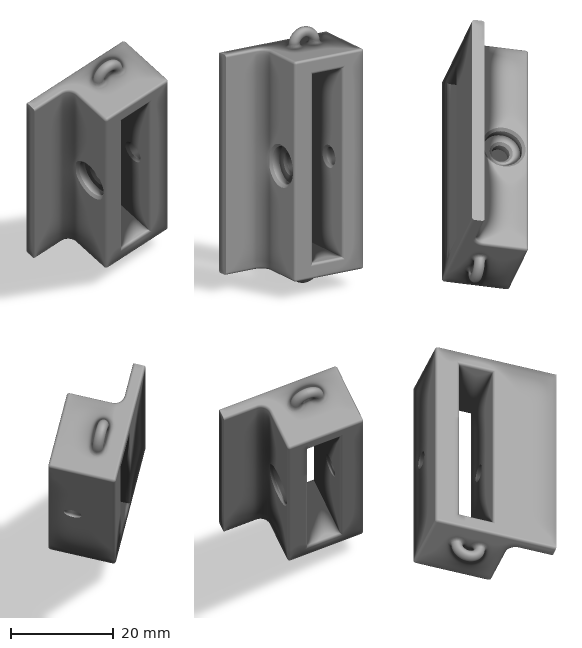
import cadquery as cq

width = 13.5
depth = 24.85
total_height = 52.3
body_height = 45.0
block_depth = 16.0
plate_thickness = 2.5
corner_radius = 2.0
edge_radius = 0.5
hole_chamfer = 0.5

left_x = -width / 2
right_x = width / 2
front_y = -depth / 2
back_y = depth / 2
block_front_y = back_y - block_depth
plate_inner_x = left_x + plate_thickness

window_width = 6.9
window_height = 38.6
window_y = back_y - 8.35

screw_x = left_x + 8.5
screw_diameter = 3.55
head_diameter = 7.65
head_depth = 2.1

eyelet_x = left_x + 4.95
eyelet_ring_radius = 2.35
eyelet_wire_radius = 1.05
eyelet_fillet = 0.7
eyelet_rise = (total_height - body_height) / 2
eyelet_center_z = body_height / 2 + eyelet_rise - eyelet_ring_radius - eyelet_wire_radius


def make_body():
    """Block with a thin plate running forward from its left side."""
    body = (
        cq.Workplane("XY", origin=(0, 0, -body_height / 2))
        .moveTo(left_x, front_y)
        .lineTo(plate_inner_x, front_y)
        .lineTo(plate_inner_x, block_front_y - corner_radius)
        .radiusArc((plate_inner_x + corner_radius, block_front_y), corner_radius)
        .lineTo(right_x, block_front_y)
        .lineTo(right_x, back_y)
        .lineTo(left_x, back_y)
        .close()
        .extrude(body_height)
    )
    end_edges = body.faces("<Z or >Z").edges().vals()
    upright_edges = body.faces(">X or >Y").edges("|Z").vals()
    plate_end_edges = body.faces("<Y").edges().vals()
    rounded_edges = [
        edge for edge in end_edges + upright_edges
        if not any(edge.isSame(sharp) for sharp in plate_end_edges)
    ]
    return body.newObject(rounded_edges).fillet(edge_radius)


def add_eyelet(body, side):
    """Join a half ring, blended at its feet, to the top (side 1) or bottom (side -1)."""
    ring = cq.Workplane(
        cq.Solid.makeTorus(
            eyelet_ring_radius,
            eyelet_wire_radius,
            cq.Vector(eyelet_x, window_y, side * eyelet_center_z),
            cq.Vector(1, 0, 0),
        )
    )
    joined = body.union(ring)
    end_face = joined.faces("+Z" if side > 0 else "-Z")
    feet = [edge for edge in end_face.edges().vals() if edge.geomType() == "BSPLINE"]
    return joined.newObject(feet).fillet(eyelet_fillet)


def cut_window(body):
    """Rectangular window along X with rounded rims at both openings."""
    cutter = cq.Workplane("YZ", origin=(left_x, window_y, 0)).rect(window_width, window_height).extrude(width)
    opened = body.cut(cutter)
    rim_margin = 0.25
    rim_box = cq.selectors.BoxSelector(
        (left_x - rim_margin, window_y - window_width / 2 - rim_margin, -window_height / 2 - rim_margin),
        (right_x + rim_margin, window_y + window_width / 2 + rim_margin, window_height / 2 + rim_margin),
    )
    return opened.faces("<X or >X").edges(rim_box).fillet(edge_radius)


def make_screw_hole():
    """Revolved cutter: flared counterbore, then a flared hole through to the back.

    A second flare opens the hole in the back wall toward the window.
    """
    head_radius = head_diameter / 2
    screw_radius = screw_diameter / 2
    back_wall_depth = window_y + window_width / 2 - block_front_y
    return (
        cq.Workplane("XY", origin=(screw_x, block_front_y, 0))
        .moveTo(0, 0)
        .lineTo(head_radius + hole_chamfer, 0)
        .lineTo(head_radius, hole_chamfer)
        .lineTo(head_radius, head_depth)
        .lineTo(screw_radius + hole_chamfer, head_depth)
        .lineTo(screw_radius, head_depth + hole_chamfer)
        .lineTo(screw_radius, back_wall_depth - hole_chamfer)
        .lineTo(screw_radius + hole_chamfer, back_wall_depth)
        .lineTo(screw_radius, back_wall_depth + hole_chamfer)
        .lineTo(screw_radius, block_depth)
        .lineTo(0, block_depth)
        .close()
        .revolve(360, (0, 0, 0), (0, 1, 0))
    )


result = make_body()
for side in (1, -1):
    result = add_eyelet(result, side)
result = cut_window(result).cut(make_screw_hole())